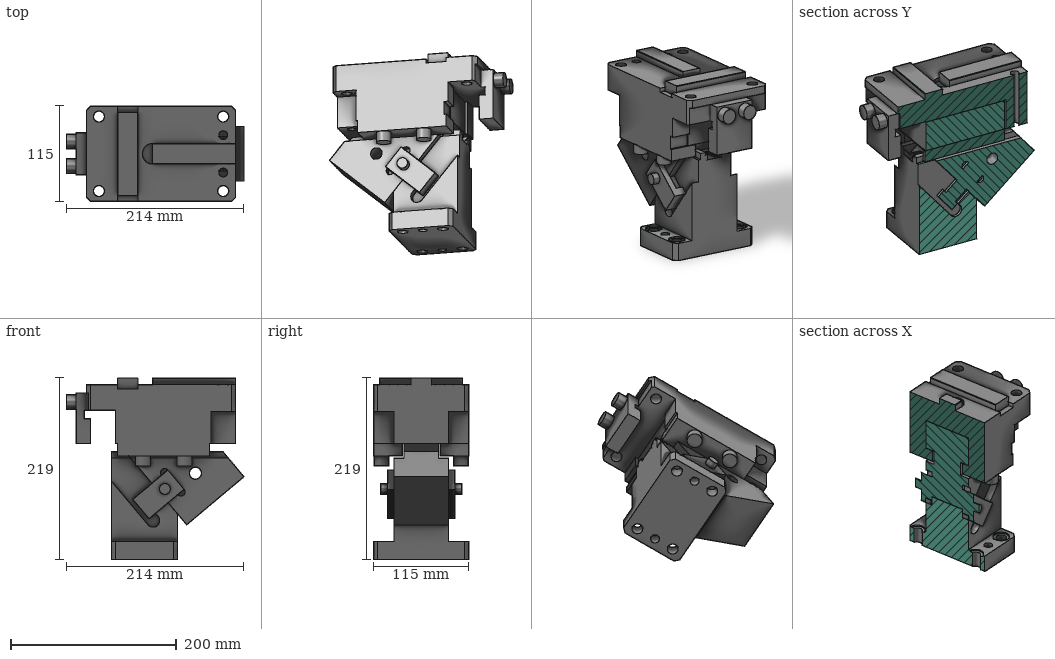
import cadquery as cq
import math


TOTAL_HEIGHT = 219.0
FAR = 219.0
WIDTH = 115.0
CORNER = 5.0
BODY_WIDTH = 66.0
SHOULDER_Z = 122.5
TONGUE_Z = 130.0
HEAD_Z = 140.0
CHANNEL_TOP = 180.0
NECK_WIDTH = 41.8
SCREW_HEAD_D = 18.0
HOLE_D = 13.0
DOWEL_D = 10.5

SLOPE = math.radians(40.0)
A_DIRECTION = cq.Vector(math.cos(SLOPE), 0, math.sin(SLOPE))
B_DIRECTION = cq.Vector(-math.sin(SLOPE), 0, math.cos(SLOPE))
SLIDE_FACE_A = 96.5

PLATE_A = (66.5, 121.8)
PLATE_B = (8.5, 39.0)
HOOK_END_A = 76.9
PLATE_OUTER_WIDTH = 81.0
WAIST_WIDTH = 47.3


def slanted():
    """Workplane in the middle plane with local x along a and local y along b."""
    return cq.Workplane(cq.Plane((0, 0, 0), A_DIRECTION, (0, -1, 0)))


def box(x, y, z):
    """Block between the given (low, high) pairs."""
    return cq.Workplane().box(
        x[1] - x[0], y[1] - y[0], z[1] - z[0], centered=False
    ).translate((x[0], y[0], z[0]))


def mid_box(x, width, z):
    """Block centred on the middle plane."""
    return box(x, (-width / 2, width / 2), z)


def slanted_block(a, b, width):
    """Block in the slanted frame, centred on the middle plane."""
    centre = ((a[0] + a[1]) / 2, (b[0] + b[1]) / 2)
    return slanted().center(*centre).rect(a[1] - a[0], b[1] - b[0]).extrude(width / 2, both=True)


def upright(points, diameter, z):
    """Vertical cylinders at the given points."""
    return (
        cq.Workplane().workplane(offset=z[0]).pushPoints(points)
        .circle(diameter / 2).extrude(z[1] - z[0])
    )


def outside(width, shape):
    """The parts of a shape farther than width / 2 from the middle plane."""
    return shape.cut(mid_box((-FAR, FAR), width, (-FAR, 2 * FAR)))


BASE_LENGTH = 80.0
FOOT_HEIGHT = 22.0
POST_TONGUE_WIDTH = 40.5
FOOT_HOLE_Y = 45.0
FOOT_HOLE_INSET = 15.0
SPOTFACE_D = 20.0
SPOTFACE_DEPTH = 1.8
GROOVE_A = 60.9
GROOVE_END_B = 3.7
POCKET_WIDTH = 26.0
POCKET_A = 82.0
POCKET_FLOOR_B = 84.3
SLOT_WIDTH = 20.8
SLOT_A = 77.3
SLOT_DEPTH = 5.0
SLOT_SIDE_A = 85.8
SLOT_TIP_A = 93.3
SLOT_TIP_WIDTH = 2.5



def make_foot():
    foot = mid_box((0, BASE_LENGTH), WIDTH, (0, FOOT_HEIGHT)).edges("|Z").chamfer(CORNER)
    sides = (-FOOT_HOLE_Y, FOOT_HOLE_Y)
    ends = (FOOT_HOLE_INSET, BASE_LENGTH - FOOT_HOLE_INSET)
    screws = [(x, y) for x in ends for y in sides]
    dowels = [(BASE_LENGTH / 2, y) for y in sides]
    foot = foot.cut(upright(screws, HOLE_D, (0, FOOT_HEIGHT)))
    foot = foot.cut(upright(screws, SPOTFACE_D, (FOOT_HEIGHT - SPOTFACE_DEPTH, FOOT_HEIGHT)))
    return foot.cut(upright(dowels, DOWEL_D, (0, FOOT_HEIGHT)))


def make_hook_grooves():
    """Side recesses for the hooks: a round-ended groove and the open area up to the slide."""
    radius = (HOOK_END_A - GROOVE_A) / 2
    groove = slanted_block((GROOVE_A, HOOK_END_A), (GROOVE_END_B, FAR), WIDTH)
    round_end = (
        slanted().center(GROOVE_A + radius, GROOVE_END_B).circle(radius).extrude(WIDTH / 2, both=True)
    )
    open_area = slanted_block((HOOK_END_A, SLIDE_FACE_A), (PLATE_B[0], FAR), WIDTH)
    return outside(WAIST_WIDTH, groove.union(round_end).union(open_area))


def make_top_pocket():
    """Slanted pocket in the post top, with a narrower wedge-ended slot in its floor."""
    pocket = slanted_block((POCKET_A, SLIDE_FACE_A), (POCKET_FLOOR_B, FAR), POCKET_WIDTH)
    slot_front = slanted_block((SLOT_A, POCKET_A), (POCKET_FLOOR_B, FAR), SLOT_WIDTH)
    floor = cq.Plane((B_DIRECTION * POCKET_FLOOR_B).toTuple(), A_DIRECTION, B_DIRECTION)
    side = SLOT_WIDTH / 2
    tip = SLOT_TIP_WIDTH / 2
    slot = (
        cq.Workplane(floor)
        .polyline([
            (SLOT_A, -side), (SLOT_SIDE_A, -side), (SLOT_TIP_A, -tip),
            (SLOT_TIP_A, tip), (SLOT_SIDE_A, side), (SLOT_A, side),
        ])
        .close().extrude(-SLOT_DEPTH)
    )
    return pocket.union(slot_front).union(slot)


def make_base():
    span = (0, BASE_LENGTH)
    post = mid_box(span, BODY_WIDTH, (0, SHOULDER_Z))
    post = post.union(mid_box(span, POST_TONGUE_WIDTH, (0, TONGUE_Z)))
    post = post.cut(slanted_block((SLIDE_FACE_A, FAR), (-FAR, FAR), WIDTH))
    post = post.cut(make_hook_grooves())
    post = post.cut(make_top_pocket())
    return post.union(make_foot())


SLIDE_BACK_A = 186.8
SLIDE_END_B = -26.3
HEAD_END_X = 118.5
CROSS_HOLE_X = 101.5
CROSS_HOLE_Z = 104.2
CROSS_HOLE_D = 14.2
RELIEF_R = 5.0
HOOK_WEB_INSET = 4.5
PIN_A = 104.2
PIN_D = 13.1
PIN_SPAN = 98.1


def make_wedge():
    slab_a = (SLIDE_FACE_A, SLIDE_BACK_A)
    slab_b = (SLIDE_END_B, FAR)
    wedge = slanted_block(slab_a, slab_b, BODY_WIDTH).intersect(
        mid_box((0, FAR), BODY_WIDTH, (0, SHOULDER_Z))
    )
    tongue = mid_box((0, FAR), NECK_WIDTH, (SHOULDER_Z, TONGUE_Z))
    neck = mid_box((0, HEAD_END_X), NECK_WIDTH, (TONGUE_Z, HEAD_Z))
    wedge = wedge.union(slanted_block(slab_a, slab_b, NECK_WIDTH).intersect(tongue.union(neck)))
    head_front_x = (SLIDE_FACE_A - HEAD_Z * math.sin(SLOPE)) / math.cos(SLOPE)
    head = mid_box((head_front_x, HEAD_END_X), BODY_WIDTH, (HEAD_Z, CHANNEL_TOP))
    cross_hole = (
        cq.Workplane("XZ").center(CROSS_HOLE_X, CROSS_HOLE_Z)
        .circle(CROSS_HOLE_D / 2).extrude(WIDTH / 2, both=True)
    )
    return wedge.union(head).cut(cross_hole)


def make_reliefs():
    corners = [(PLATE_A[1] - RELIEF_R, b) for b in PLATE_B]
    reliefs = slanted().pushPoints(corners).circle(RELIEF_R).extrude(BODY_WIDTH / 2, both=True)
    return outside(WAIST_WIDTH, reliefs)


def make_retainers():
    """Both retaining plates with their hooks, webs and pins."""
    web_b = (PLATE_B[0] + HOOK_WEB_INSET, PLATE_B[1] - HOOK_WEB_INSET)
    plates = outside(BODY_WIDTH, slanted_block(PLATE_A, PLATE_B, PLATE_OUTER_WIDTH))
    seats = slanted_block((SLIDE_FACE_A, PLATE_A[1]), PLATE_B, BODY_WIDTH)
    hooks = slanted_block((PLATE_A[0], HOOK_END_A), PLATE_B, BODY_WIDTH)
    webs = slanted_block((HOOK_END_A, SLIDE_FACE_A), web_b, BODY_WIDTH)
    pins = (
        slanted().center(PIN_A, (PLATE_B[0] + PLATE_B[1]) / 2)
        .circle(PIN_D / 2).extrude(PIN_SPAN / 2, both=True)
    )
    inner = outside(WAIST_WIDTH, seats.union(hooks).union(webs))
    return plates.union(inner).union(outside(BODY_WIDTH, pins))


def make_slide():
    return make_wedge().cut(make_reliefs()).union(make_retainers())


DECK_X = (-30.0, 150.0)
DECK_TOP = 211.0
BODY_X = (5.0, 120.0)
REAR_DECK_Z = 178.5
LIP_FRONT_X = 7.5
LIP_BOTTOM = 125.0
LIP_GAP = 45.5
STEP_TOP_Z = 156.0
STEP_SETBACK = 5.0
KEY_WIDTH = 25.0
KEY_SEAT_DEPTH = 5.0
KEY_CHAMFER = 0.7
CROSS_KEY_X = 7.5
CROSS_KEY_LENGTH = 100.0
LONG_KEY_X = 50.0
DECK_HOLE_X = (-15.0, 135.0)
DECK_HOLE_Y = 45.0
DECK_DOWEL_Y = 22.5
CLAMP_FRONT_X = -42.5
CLAMP_SEAT_DEPTH = 2.5
CLAMP_TOP = 201.0
CLAMP_WIDTH = 51.0
CLAMP_NOTCH_X = -32.5
CLAMP_NOTCH_BOTTOM = 170.0
CLAMP_TOE_X = -25.0
CLAMP_SCREW_TIP_X = -54.0
CLAMP_SCREW_Y = 15.0
CLAMP_SCREW_Z = 190.0
LIP_SCREW_X = (38.0, 88.0)
LIP_SCREW_Y = 48.0
LIP_SCREW_BOTTOM = 113.0


def make_housing_block():
    block = mid_box(DECK_X, WIDTH, (REAR_DECK_Z, DECK_TOP)).edges("|Z").chamfer(CORNER)
    block = block.cut(mid_box((DECK_X[0], BODY_X[0]), WIDTH, (REAR_DECK_Z, CHANNEL_TOP)))
    block = block.union(mid_box(BODY_X, WIDTH, (HEAD_Z, CHANNEL_TOP)))
    block = block.union(mid_box((LIP_FRONT_X, HEAD_END_X), WIDTH, (LIP_BOTTOM, HEAD_Z)))
    block = block.cut(mid_box(BODY_X, BODY_WIDTH, (HEAD_Z, CHANNEL_TOP)))
    block = block.cut(mid_box(BODY_X, LIP_GAP, (LIP_BOTTOM, HEAD_Z)))
    end_stop = mid_box((BODY_X[1], DECK_X[1]), BODY_WIDTH, (HEAD_Z, REAR_DECK_Z))
    setback = box(
        (BODY_X[0], BODY_X[0] + STEP_SETBACK), (BODY_WIDTH / 2, WIDTH / 2), (HEAD_Z, STEP_TOP_Z)
    )
    return block.union(end_stop).cut(setback)


def cut_deck_holes(block):
    screws = [(x, side * DECK_HOLE_Y) for x in DECK_HOLE_X for side in (-1, 1)]
    dowels = [(DECK_HOLE_X[1], side * DECK_DOWEL_Y) for side in (-1, 1)]
    block = block.cut(upright(screws, HOLE_D, (HEAD_Z, DECK_TOP)))
    return block.cut(upright(dowels, DOWEL_D, (HEAD_Z, DECK_TOP)))


def add_keys(block):
    """Key across the deck and key along it, each in a shallow seat."""
    seat_z = (DECK_TOP - KEY_SEAT_DEPTH, DECK_TOP)
    key_z = (seat_z[0], TOTAL_HEIGHT)
    cross_x = (CROSS_KEY_X, CROSS_KEY_X + KEY_WIDTH)
    long_x = (LONG_KEY_X, DECK_X[1])
    block = block.cut(mid_box(cross_x, WIDTH, seat_z))
    block = block.cut(mid_box(long_x, KEY_WIDTH, seat_z))
    block = block.cut(upright([(LONG_KEY_X, 0)], KEY_WIDTH, seat_z))
    cross_key = mid_box(cross_x, CROSS_KEY_LENGTH, key_z).edges(">Z and |Y").chamfer(KEY_CHAMFER)
    long_key = mid_box(long_x, KEY_WIDTH, key_z).edges(">Z and |X").chamfer(KEY_CHAMFER)
    return block.union(cross_key).union(long_key)


def add_clamp(block):
    """Clamp plate on the front end, seated in a recess and held by two screws."""
    seat_x = DECK_X[0] + CLAMP_SEAT_DEPTH
    block = block.cut(mid_box((DECK_X[0], seat_x), WIDTH, (CHANNEL_TOP, CLAMP_TOP)))
    clamp = (
        cq.Workplane("XZ")
        .polyline([
            (CLAMP_FRONT_X, HEAD_Z), (CLAMP_TOE_X, HEAD_Z),
            (CLAMP_TOE_X, CLAMP_NOTCH_BOTTOM), (CLAMP_NOTCH_X, CLAMP_NOTCH_BOTTOM),
            (CLAMP_NOTCH_X, CHANNEL_TOP), (seat_x, CHANNEL_TOP),
            (seat_x, CLAMP_TOP), (CLAMP_FRONT_X, CLAMP_TOP),
        ])
        .close().extrude(CLAMP_WIDTH / 2, both=True)
    )
    screws = (
        cq.Workplane("YZ", origin=(CLAMP_SCREW_TIP_X, 0, 0))
        .pushPoints([(side * CLAMP_SCREW_Y, CLAMP_SCREW_Z) for side in (-1, 1)])
        .circle(SCREW_HEAD_D / 2).extrude(CLAMP_FRONT_X - CLAMP_SCREW_TIP_X)
    )
    return block.union(clamp).union(screws)


def add_lip_screws(block):
    points = [(x, side * LIP_SCREW_Y) for x in LIP_SCREW_X for side in (-1, 1)]
    return block.union(upright(points, SCREW_HEAD_D, (LIP_SCREW_BOTTOM, LIP_BOTTOM)))


def make_housing():
    housing = cut_deck_holes(make_housing_block())
    return add_lip_screws(add_clamp(add_keys(housing)))


base = make_base().solids()
slide = make_slide().solids()
housing = make_housing().solids()

result = cq.Compound.makeCompound([base.val(), slide.val(), housing.val()])